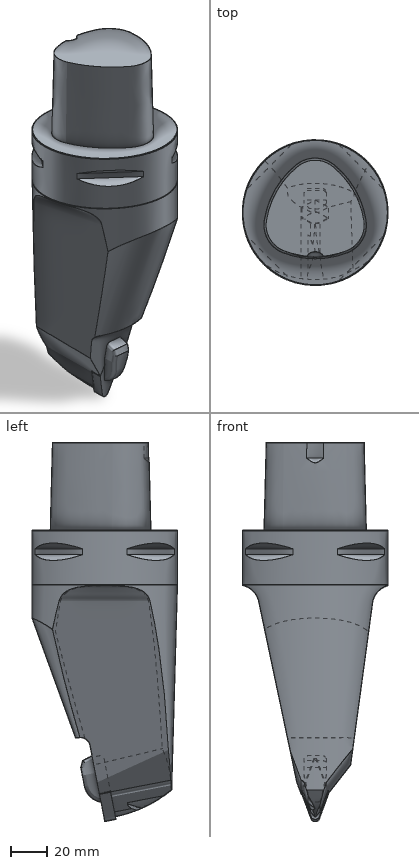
import cadquery as cq
import math

total_height = 208.0
shank_height = 48.0
collar_height = 30.2
collar_top = total_height - shank_height
collar_bottom = collar_top - collar_height
far = 124.8

collar_radius = 80.0 / 2
collar_chamfer = 0.5
groove_z = 148.0
groove_floor_distance = 35.5
groove_floor_width = 3.1
groove_mouth_width = 9.5
groove_overrun = 2.0

lobe_reach = 30.0
lobe_radius = 16.5
side_reach = 25.4
taper_angle = math.degrees(math.atan(1 / 40))
notch_radius = 5.5
notch_center_y = -26.8
notch_depth = 8.5
notch_point_depth = 4.5

body_radius = 40.0
front_lean = 1.6
back_lean = 19.9
back_lean_start = 111.7
back_radius = 50.0
flank_datum_z = 120.6
flank_fillet = 11.2
left_flank_x = -31.0
left_flank_angle = 11.9
right_flank_x = 31.6
right_flank_angle = 7.7

seat_tilt = 11.0
seat_end = 47.8
seat_corner_radius = 5.2

insert_half_angle = 20.0
insert_half_length = 15.5
nose_radius = 2.5
insert_thickness = 6.2

beak_inset = 0.6
beak_tip = 1.2
beak_shoulder = 4.2
ledge_bottom = 12.5
ledge_top = (-7.7, 15.4)
ledge_radius = 3.1
left_facet_angle = 20.5
right_facet_start = (6.2, 14.5)
right_facet_angle = 37.5
wedge_height = 249.5

underside_arc = [(-6.0, 2.7), (-20.8, 7.5), (-37.0, 17.7)]
relief_start = 14.1
relief_end = 21.6
relief_wall_width = 3.3
relief_width = 10.5
relief_apex = 3.1
relief_half_angle = 40.0

clamp_bottom = 10.8
clamp_front_middle = (14.5, 5.0)
clamp_shoulder = 21.5
clamp_bevel_start = 31.6
clamp_top_corner = 35.2
clamp_top = 36.8
clamp_height = 7.3
clamp_corner_height = 5.6
clamp_half_width = 6.2
clamp_tip_half_width = 3.0
clamp_taper_start = 27.0
clamp_rounding = 2.3
clamp_rim_min_height = 1.9


def tan(degrees):
    return math.tan(math.radians(degrees))


def insert_apex():
    """Position along the seat of the sharp corner that the insert's nose rounds off."""
    return nose_radius * (1 - 1 / math.sin(math.radians(insert_half_angle)))


def polar(radius, degrees):
    angle = math.radians(degrees)
    return cq.Vector(radius * math.cos(angle), radius * math.sin(angle))


tilt = math.radians(seat_tilt)
seat_plane = cq.Plane(origin=(0, 0, 0), xDir=(1, 0, 0), normal=(0, -math.cos(tilt), math.sin(tilt)))
seat_side_plane = cq.Plane(
    origin=(0, 0, 0), xDir=(0, math.sin(tilt), math.cos(tilt)), normal=(-1, 0, 0)
)
seat_plan_plane = cq.Plane(origin=(0, 0, 0), xDir=(1, 0, 0), normal=(0, -math.sin(tilt), -math.cos(tilt)))


def make_shank():
    lobe_offset = lobe_reach - lobe_radius
    side_radius = (lobe_offset**2 + side_reach**2 - lobe_offset * side_reach - lobe_radius**2) / (
        2 * side_reach - lobe_offset - 2 * lobe_radius
    )
    side_offset = side_radius - side_reach

    def seam(lobe_angle, side_angle):
        lobe_center = polar(lobe_offset, lobe_angle)
        side_center = polar(-side_offset, side_angle)
        return side_center + (lobe_center - side_center).normalized() * side_radius

    first = seam(90, 30)
    outline = cq.Workplane("XY", origin=(0, 0, collar_top)).moveTo(first.x, first.y)
    for lobe_angle in (90, 210, 330):
        crest = polar(lobe_reach, lobe_angle)
        lobe_end = seam(lobe_angle, lobe_angle + 60)
        side_middle = polar(side_reach, lobe_angle + 60)
        side_end = seam(lobe_angle + 120, lobe_angle + 60)
        outline = outline.threePointArc(crest.toTuple()[:2], lobe_end.toTuple()[:2])
        outline = outline.threePointArc(side_middle.toTuple()[:2], side_end.toTuple()[:2])
    shank = outline.close().extrude(shank_height, taper=taper_angle)

    notch = (
        cq.Workplane("XZ", origin=(0, notch_center_y, total_height))
        .polyline([
            (0, 0),
            (notch_radius, 0),
            (notch_radius, -notch_depth),
            (0, -notch_depth - notch_point_depth),
        ])
        .close()
        .revolve(360, (0, 0), (0, 1))
    )
    return shank.cut(notch)


def make_collar():
    collar = (
        cq.Workplane("XY", origin=(0, 0, collar_bottom))
        .circle(collar_radius)
        .extrude(collar_height)
        .faces("<Z or >Z")
        .chamfer(collar_chamfer)
    )
    flare = (groove_mouth_width - groove_floor_width) / 2 / (collar_radius - groove_floor_distance)
    outer_distance = collar_radius + groove_overrun
    outer_half_width = groove_floor_width / 2 + flare * (outer_distance - groove_floor_distance)
    groove = (
        cq.Workplane("XZ", origin=(0, 0, groove_z))
        .polyline([
            (groove_floor_distance, -groove_floor_width / 2),
            (outer_distance, -outer_half_width),
            (outer_distance, outer_half_width),
            (groove_floor_distance, groove_floor_width / 2),
        ])
        .close()
        .extrude(collar_radius, both=True)
    )
    for angle in (45, 135, 225, 315):
        collar = collar.cut(groove.rotate((0, 0, 0), (0, 0, 1), angle))
    return collar


def leaning_cylinder(radius, surface_y, pivot_z, lean):
    """Cylinder whose surface line at Y = surface_y leans about the height pivot_z."""
    center_y = surface_y - math.copysign(radius, surface_y)
    return (
        cq.Workplane("XY", origin=(0, center_y, -far))
        .circle(radius)
        .extrude(3 * far)
        .rotate((0, surface_y, pivot_z), (1, surface_y, pivot_z), lean)
    )


def flank_cutter(side, flank_x, flank_angle):
    """Material outside one flat flank, rounded into the collar above; side is -1 or 1."""
    slope = tan(flank_angle)
    rise = collar_bottom - flank_datum_z
    corner_x = abs(flank_x) + slope * rise
    bottom_x = corner_x - slope * collar_bottom
    return (
        cq.Workplane("XZ")
        .polyline([
            (side * bottom_x, 0),
            (side * corner_x, collar_bottom),
            (side * far, collar_bottom),
            (side * far, -far),
            (side * (bottom_x - slope * far), -far),
        ])
        .close()
        .extrude(far, both=True)
        .edges(cq.selectors.NearestToPointSelector((side * corner_x, 0, collar_bottom)))
        .fillet(flank_fillet)
    )


def make_wedge():
    """Prism square to the seat that shapes the lower end of the body."""
    slope = tan(insert_half_angle)
    beak_apex = insert_apex() + beak_inset / math.sin(math.radians(insert_half_angle))
    shoulder_x = slope * (beak_shoulder - beak_apex)
    right_x, right_along = right_facet_start
    left_x, left_along = ledge_top
    return (
        cq.Workplane(seat_plane)
        .moveTo(0, beak_tip)
        .lineTo(shoulder_x, beak_shoulder)
        .lineTo(slope * (right_along - beak_apex), right_along)
        .lineTo(right_x + tan(right_facet_angle) * (wedge_height - right_along), wedge_height)
        .lineTo(left_x - tan(left_facet_angle) * (wedge_height - left_along), wedge_height)
        .lineTo(left_x, left_along)
        .radiusArc((-slope * (ledge_bottom - beak_apex), ledge_bottom), ledge_radius)
        .lineTo(-shoulder_x, beak_shoulder)
        .close()
        .extrude(far, both=True)
    )


def make_seat_cutter():
    return (
        cq.Workplane(seat_side_plane)
        .moveTo(-far, 0)
        .lineTo(seat_end - seat_corner_radius, 0)
        .radiusArc((seat_end, seat_corner_radius), -seat_corner_radius)
        .lineTo(seat_end + far * tan(seat_tilt), seat_corner_radius + far)
        .lineTo(-far, far)
        .close()
        .extrude(far, both=True)
    )


def make_underside_cutter():
    start, middle, end = underside_arc
    return (
        cq.Workplane("YZ")
        .moveTo(*start)
        .threePointArc(middle, end)
        .lineTo(-far, end[1])
        .lineTo(-far, -far)
        .lineTo(start[0], -far)
        .close()
        .extrude(far, both=True)
    )


def make_relief_cutter():
    """Pocket in the beak's left side, under a sloping roof and with a slanted end wall."""
    roof = (
        cq.Workplane(seat_plane)
        .polyline([
            (0, relief_apex),
            (-relief_width, relief_apex + relief_width / tan(relief_half_angle)),
            (-relief_width, -far),
            (0, -far),
        ])
        .close()
        .extrude(far)
    )
    plan = (
        cq.Workplane(seat_plan_plane)
        .polyline([
            (0, relief_end),
            (-relief_wall_width, relief_start),
            (-relief_width, relief_start),
            (-relief_width, far),
            (0, far),
        ])
        .close()
        .extrude(far, both=True)
    )
    return roof.intersect(plan)


def make_clamp():
    side = (
        cq.Workplane(seat_side_plane)
        .moveTo(clamp_bottom, 0)
        .threePointArc(clamp_front_middle, (clamp_shoulder, clamp_height))
        .lineTo(clamp_bevel_start, clamp_height)
        .lineTo(clamp_top_corner, clamp_corner_height)
        .lineTo(clamp_top, 0)
        .close()
        .extrude(clamp_half_width, both=True)
    )
    plan = (
        cq.Workplane(seat_plane)
        .polyline([
            (-clamp_tip_half_width, clamp_bottom),
            (clamp_tip_half_width, clamp_bottom),
            (clamp_half_width, clamp_taper_start),
            (clamp_half_width, clamp_top),
            (-clamp_half_width, clamp_top),
            (-clamp_half_width, clamp_taper_start),
        ])
        .close()
        .extrude(-2 * clamp_height)
    )
    clamp = side.intersect(plan)
    outward = seat_plane.zDir * -1
    rim = (
        clamp.edges("not |X")
        .edges(cq.selectors.InverseSelector(cq.selectors.ParallelDirSelector(outward)))
        .filter(lambda edge: edge.Center().dot(outward) > clamp_rim_min_height)
    )
    return rim.fillet(clamp_rounding)


def make_insert():
    apex_distance = insert_half_length - insert_apex()
    half_width = apex_distance * tan(insert_half_angle)
    return (
        cq.Workplane(seat_plane)
        .polyline([
            (0, insert_apex()),
            (half_width, insert_half_length),
            (0, insert_half_length + apex_distance),
            (-half_width, insert_half_length),
        ])
        .close()
        .extrude(insert_thickness)
        .edges(cq.selectors.NearestToPointSelector((0, -insert_thickness / 2, insert_apex())))
        .fillet(nose_radius)
    )


def make_body():
    body = cq.Workplane("XY").circle(body_radius).extrude(collar_bottom)
    body = body.intersect(leaning_cylinder(body_radius, -body_radius, collar_bottom, front_lean))
    body = body.intersect(leaning_cylinder(back_radius, body_radius, back_lean_start, -back_lean))
    body = body.cut(flank_cutter(-1, left_flank_x, left_flank_angle))
    body = body.cut(flank_cutter(1, right_flank_x, right_flank_angle))
    body = body.cut(make_seat_cutter())
    body = body.intersect(make_wedge())
    body = body.cut(make_underside_cutter())
    return body.cut(make_relief_cutter())


def make_holder(insert):
    """Shank, collar, body and clamp in one solid, with a pocket that fits the insert."""
    holder = make_body().union(make_collar()).union(make_shank()).union(make_clamp())
    return holder.cut(insert)


insert = make_insert()
holder = make_holder(insert)

result = cq.Compound.makeCompound([holder.solids().val(), insert.solids().val()])